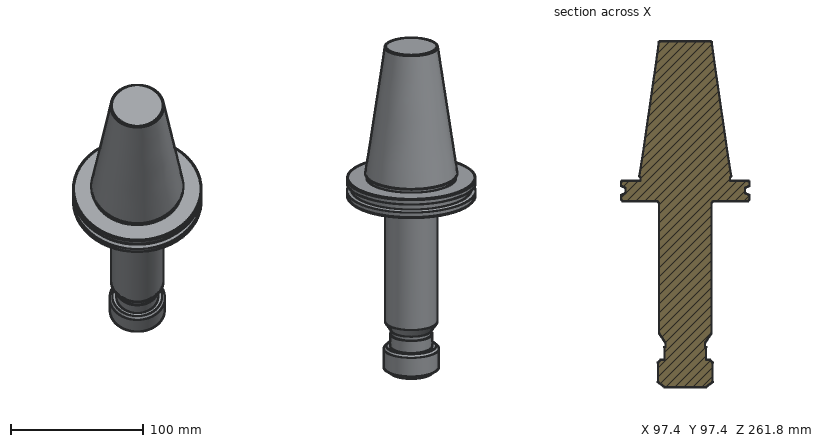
import cadquery as cq

total_height = 261.8

gauge_radius = 34.95
taper_length = 102.0
taper_ratio = 7 / 24
taper_tip_chamfer = 0.8
gauge_z = total_height - taper_length
tip_radius = gauge_radius - taper_length * taper_ratio / 2

flange_radius = 48.7
flange_thickness = 15.7
flange_gap = 3.5
flange_top_chamfer = 0.8
flange_bottom_chamfer = 1.3
flange_top_z = gauge_z - flange_gap
flange_bottom_z = flange_top_z - flange_thickness
groove_radius = 45.5
groove_top_z = 152.0
groove_bottom_z = 145.5
groove_flank_height = 1.3

relief_radius = 34.0
relief_flank_height = 1.0

shank_radius = 20.02
shank_bottom_z = 40.8
root_chamfer = 1.3

waist_radius = 15.3
waist_top_z = 33.8
neck_radius = 16.0
neck_top_z = 30.5

knob_radius = 21.0
knob_height = 21.0
knob_top_chamfer = 2.0
knob_base_radius = 15.7
knob_base_chamfer_height = 4.0

knob_profile = [
    (0, 0),
    (knob_base_radius, 0),
    (knob_radius, knob_base_chamfer_height),
    (knob_radius, knob_height - knob_top_chamfer),
    (knob_radius - knob_top_chamfer, knob_height),
]

shank_profile = [
    (neck_radius, knob_height),
    (neck_radius, neck_top_z),
    (waist_radius, neck_top_z),
    (waist_radius, waist_top_z),
    (shank_radius, shank_bottom_z),
    (shank_radius, flange_bottom_z - root_chamfer),
    (shank_radius + root_chamfer, flange_bottom_z),
]

flange_profile = [
    (flange_radius - flange_bottom_chamfer, flange_bottom_z),
    (flange_radius, flange_bottom_z + flange_bottom_chamfer),
    (flange_radius, groove_bottom_z),
    (groove_radius, groove_bottom_z + groove_flank_height),
    (groove_radius, groove_top_z - groove_flank_height),
    (flange_radius, groove_top_z),
    (flange_radius, flange_top_z - flange_top_chamfer),
    (flange_radius - flange_top_chamfer, flange_top_z),
]

taper_profile = [
    (relief_radius, flange_top_z),
    (relief_radius, gauge_z - relief_flank_height),
    (gauge_radius, gauge_z),
    (tip_radius + taper_tip_chamfer * taper_ratio / 2, total_height - taper_tip_chamfer),
    (tip_radius - taper_tip_chamfer, total_height),
    (0, total_height),
]

profile = knob_profile + shank_profile + flange_profile + taper_profile
result = cq.Workplane("XZ").polyline(profile).close().revolve(360, (0, 0, 0), (0, 1, 0))